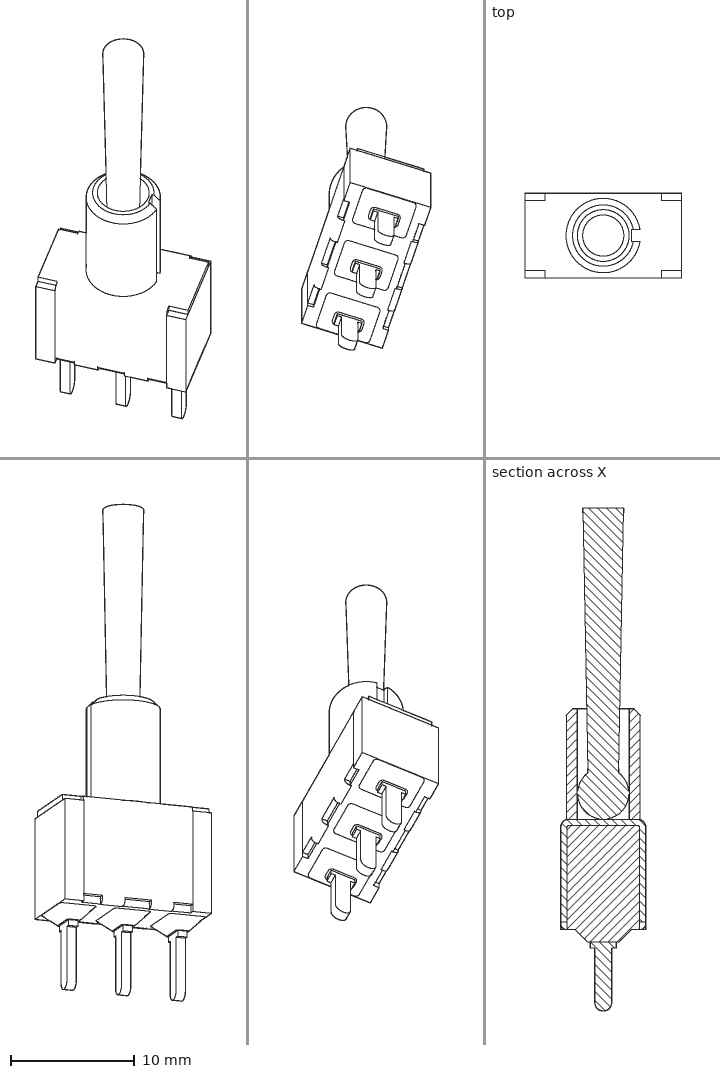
import cadquery as cq
import math


TOTAL_HEIGHT = 40.65
CASE_BOTTOM = 6.6
CASE_TOP = 15.5
BUSHING_TOP = 24.42

CASE_LENGTH = 12.7
CASE_WIDTH = 6.85

SHEET = 0.5
BEND_RADIUS = 0.6
INNER_BEND_RADIUS = BEND_RADIUS - SHEET
WRAP_LENGTH = 9.43
TAB_WIDTH = 1.95
TAB_OFFSET = 2.1
TAB_HEIGHT = 0.6
TAB_BEND_RADIUS = SHEET
FLAT_WIDTH = CASE_WIDTH - 2 * BEND_RADIUS

BUSHING_DIAMETER = 6.0
BORE_DIAMETER = 4.2
BUSHING_CHAMFER = 0.53
KEYWAY_WIDTH = 0.98
KEYWAY_DEPTH = 0.75

BALL_RADIUS = BORE_DIAMETER / 2
BALL_CENTER = CASE_TOP + BALL_RADIUS
LEVER_NECK_RADIUS = 1.25
LEVER_TIP_RADIUS = 1.65
LEVER_TIP_FILLET = 0.1

PIN_PITCH = 4.7
PIN_THICKNESS = 0.8
PIN_WIDTH = 1.4
SHOULDER_WIDTH = 2.1
SHOULDER_BOTTOM = 5.1
SEAL_BOTTOM = 5.55
SEAL_HEIGHT = CASE_BOTTOM - SEAL_BOTTOM
SEAL_LENGTH = 3.15
SEAL_WIDTH = 4.55
SEAL_CORNER_RADIUS = 0.5
PIN_POSITIONS = [-PIN_PITCH, 0, PIN_PITCH]


def block(length, width, bottom, top, x=0, y=0):
    """Box centred on (x, y) that spans bottom to top in Z."""
    solid = cq.Workplane("XY").box(length, width, top - bottom, centered=(True, True, False))
    return solid.translate((x, y, bottom))


def make_frame():
    """Top plate whose sides bend down over the housing and end in curled tabs."""
    plate = block(CASE_LENGTH, FLAT_WIDTH, CASE_TOP - SHEET, CASE_TOP)
    wrap = block(WRAP_LENGTH, CASE_WIDTH, CASE_BOTTOM, CASE_TOP)
    wrap = wrap.edges("|X and >Z").fillet(BEND_RADIUS)
    wrap = wrap.edges("|X and <Z").fillet(TAB_BEND_RADIUS)
    inside = block(WRAP_LENGTH, CASE_WIDTH - 2 * SHEET, CASE_BOTTOM + SHEET, CASE_TOP - SHEET)
    inside = inside.edges("|X and >Z").fillet(INNER_BEND_RADIUS)
    wrap = wrap.cut(inside)

    panel_bottom = CASE_BOTTOM + TAB_HEIGHT
    wrap = wrap.cut(block(WRAP_LENGTH, FLAT_WIDTH, CASE_BOTTOM, panel_bottom))
    outer_gap = WRAP_LENGTH / 2 - TAB_OFFSET - TAB_WIDTH / 2
    middle_gap = 2 * TAB_OFFSET - TAB_WIDTH
    wrap = wrap.cut(block(middle_gap, CASE_WIDTH, CASE_BOTTOM, panel_bottom))
    for side in (-1, 1):
        gap_center = side * (WRAP_LENGTH - outer_gap) / 2
        wrap = wrap.cut(block(outer_gap, CASE_WIDTH, CASE_BOTTOM, panel_bottom, x=gap_center))
    return plate.union(wrap)


def make_seal(x):
    """Block with sides at 45 degrees and rounded corners, narrowing down to the pin shoulder."""
    seal = (
        cq.Workplane("XY")
        .workplane(offset=SEAL_BOTTOM)
        .rect(SEAL_LENGTH - 2 * SEAL_HEIGHT, SEAL_WIDTH - 2 * SEAL_HEIGHT)
        .workplane(offset=SEAL_HEIGHT)
        .rect(SEAL_LENGTH, SEAL_WIDTH)
        .loft(ruled=True)
    )
    seal = seal.edges("not #Z").fillet(SEAL_CORNER_RADIUS)
    return seal.translate((x, 0, 0))


def make_housing(frame):
    """Block with side recesses that take the frame, and a seal for each pin."""
    housing = block(CASE_LENGTH, CASE_WIDTH, CASE_BOTTOM, CASE_TOP - SHEET)
    recess_center = (CASE_WIDTH - SHEET) / 2
    for side in (-1, 1):
        recess = block(WRAP_LENGTH, SHEET, CASE_BOTTOM, CASE_TOP, y=side * recess_center)
        housing = housing.cut(recess)
    housing = housing.cut(frame)
    for x in PIN_POSITIONS:
        housing = housing.union(make_seal(x))
    return housing


def make_bushing():
    """Chamfered sleeve with a keyway along its +X side."""
    bushing = cq.Workplane("XY").workplane(offset=CASE_TOP).circle(BUSHING_DIAMETER / 2)
    bushing = bushing.extrude(BUSHING_TOP - CASE_TOP).faces(">Z").chamfer(BUSHING_CHAMFER)
    bore = cq.Workplane("XY").workplane(offset=CASE_TOP).circle(BORE_DIAMETER / 2)
    bushing = bushing.cut(bore.extrude(BUSHING_TOP - CASE_TOP))
    keyway_center = (BUSHING_DIAMETER - KEYWAY_DEPTH) / 2
    return bushing.cut(block(KEYWAY_DEPTH, KEYWAY_WIDTH, CASE_TOP, BUSHING_TOP, x=keyway_center))


def make_lever():
    """Turned lever: a ball in the bore, and a stem that widens upward to a rounded rim."""
    neck_height = BALL_CENTER + math.sqrt(BALL_RADIUS**2 - LEVER_NECK_RADIUS**2)
    profile = (
        cq.Workplane("XZ")
        .moveTo(0, BALL_CENTER - BALL_RADIUS)
        .threePointArc((BALL_RADIUS, BALL_CENTER), (LEVER_NECK_RADIUS, neck_height))
        .lineTo(LEVER_TIP_RADIUS, TOTAL_HEIGHT)
        .lineTo(0, TOTAL_HEIGHT)
        .close()
    )
    return profile.revolve(360, (0, 0), (0, 1)).faces(">Z").edges().fillet(LEVER_TIP_FILLET)


def make_pin(x):
    """Flat pin with a wider shoulder and a fully rounded tip."""
    tip_radius = PIN_WIDTH / 2
    pin = (
        cq.Workplane("YZ")
        .moveTo(-tip_radius, tip_radius)
        .threePointArc((0, 0), (tip_radius, tip_radius))
        .lineTo(tip_radius, SHOULDER_BOTTOM)
        .lineTo(SHOULDER_WIDTH / 2, SHOULDER_BOTTOM)
        .lineTo(SHOULDER_WIDTH / 2, SEAL_BOTTOM)
        .lineTo(-SHOULDER_WIDTH / 2, SEAL_BOTTOM)
        .lineTo(-SHOULDER_WIDTH / 2, SHOULDER_BOTTOM)
        .lineTo(-tip_radius, SHOULDER_BOTTOM)
        .close()
        .extrude(PIN_THICKNESS / 2, both=True)
    )
    return pin.translate((x, 0, 0))


frame = make_frame()
housing = make_housing(frame)
bushing = make_bushing()
lever = make_lever()
pins = [make_pin(x) for x in PIN_POSITIONS]

result = cq.Compound.makeCompound(
    [housing.val(), frame.val(), bushing.val(), lever.val(), *[pin.val() for pin in pins]]
)